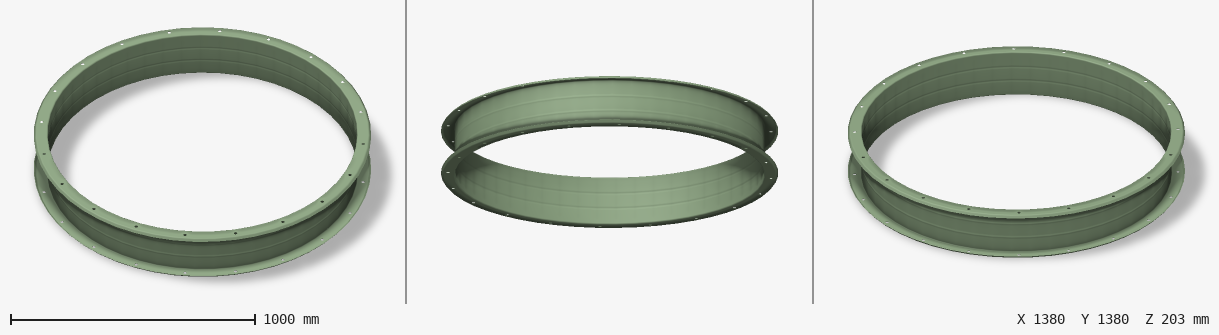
import cadquery as cq
import math

outer_radius = 690.0
overall_height = 203.0
half_height = overall_height / 2

sheet = 2.1

tube_outer_radius = 635.0
tube_inner_radius = tube_outer_radius - sheet

bead_offset = 32.0
bead_half_width = 8.0
bead_crest_half_width = 3.0
bead_flank_height = 0.7

collar_bend_radius = 5.0
lip_rise = 11.0
lip_run = 8.0
lip_bend_radius = 8.0
collar_end = half_height - collar_bend_radius

hole_count = 20
hole_circle_radius = 661.0
hole_diameter = 14.0
hole_pitch = 360 / hole_count

AXIS_START = (0, 0)
AXIS_END = (0, 1)


def beaded_cylinder(radius):
    """Solid of revolution between the two collar ends, with a bead round it at each offset."""
    flank_radius = radius + bead_flank_height
    profile = cq.Workplane("XZ").moveTo(0, -collar_end).lineTo(radius, -collar_end)
    for center in (-bead_offset, bead_offset):
        profile = (
            profile.lineTo(radius, center - bead_half_width)
            .tangentArcPoint((flank_radius, center - bead_crest_half_width), relative=False)
            .tangentArcPoint((flank_radius, center + bead_crest_half_width), relative=False)
            .tangentArcPoint((radius, center + bead_half_width), relative=False)
        )
    profile = profile.lineTo(radius, collar_end).lineTo(0, collar_end).close()
    return profile.revolve(360, AXIS_START, AXIS_END)


def make_tube():
    """Thin beaded tube that fills the space between the flange collars."""
    return beaded_cylinder(tube_outer_radius).cut(beaded_cylinder(tube_inner_radius))


def make_top_flange():
    """Bent sheet ring: collar bend, flat bolting face, and lip sloping down and outward."""
    lip_angle = math.atan2(lip_rise, lip_run)
    along_lip = (math.cos(lip_angle), -math.sin(lip_angle))
    into_sheet = (-math.sin(lip_angle), -math.cos(lip_angle))

    collar_bend_center = tube_inner_radius + collar_bend_radius
    lip_bend_center = outer_radius - lip_run - lip_bend_radius * math.tan(lip_angle / 2)
    ring_under = half_height - sheet

    lip_tip = (outer_radius, half_height - lip_rise)
    lip_tip_under = (lip_tip[0] + sheet * into_sheet[0], lip_tip[1] + sheet * into_sheet[1])
    bend_to_tip = math.hypot(lip_run, lip_rise) - lip_bend_radius * math.tan(lip_angle / 2)
    lip_start = (lip_tip[0] - bend_to_tip * along_lip[0], lip_tip[1] - bend_to_tip * along_lip[1])
    lip_start_under = (lip_start[0] + sheet * into_sheet[0], lip_start[1] + sheet * into_sheet[1])

    profile = (
        cq.Workplane("XZ")
        .moveTo(collar_bend_center, half_height)
        .lineTo(lip_bend_center, half_height)
        .radiusArc(lip_start, lip_bend_radius)
        .lineTo(*lip_tip)
        .lineTo(*lip_tip_under)
        .lineTo(*lip_start_under)
        .radiusArc((lip_bend_center, ring_under), -(lip_bend_radius - sheet))
        .lineTo(collar_bend_center, ring_under)
        .radiusArc((tube_outer_radius, collar_end), -(collar_bend_radius - sheet))
        .lineTo(tube_inner_radius, collar_end)
        .radiusArc((collar_bend_center, half_height), collar_bend_radius)
        .close()
    )
    ring = profile.revolve(360, AXIS_START, AXIS_END)

    holes = (
        cq.Workplane("XY")
        .polarArray(hole_circle_radius, hole_pitch / 2, 360, hole_count)
        .circle(hole_diameter / 2)
        .extrude(overall_height)
    )
    return ring.cut(holes)


tube = make_tube()
top_flange = make_top_flange()
bottom_flange = top_flange.mirror("XY")

result = cq.Compound.makeCompound([tube.val(), top_flange.val(), bottom_flange.val()])